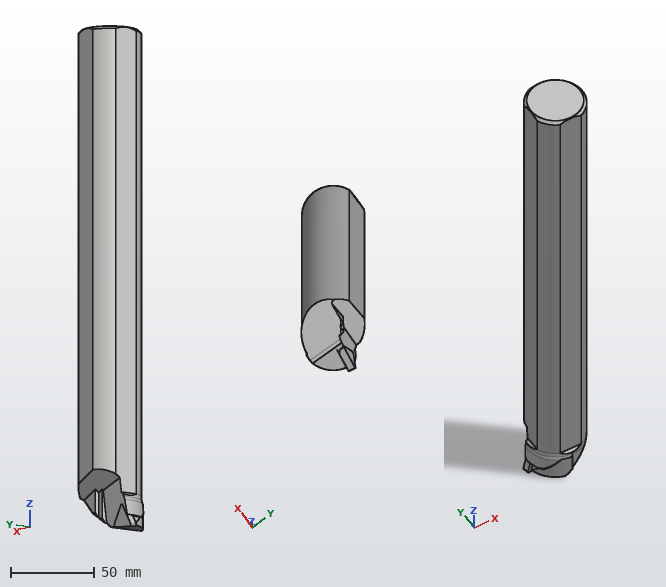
import cadquery as cq
import math


TOTAL_LENGTH = 306.0
SHANK_RADIUS = 19.0
FLAT_DISTANCE = 17.5
FLAT_ANGLES = (90, 180, 270)
NECK_Z = 21.0
TOP_CHAMFER = 1.8

HEAD_BOTTOM_Z = 1.5
COLLAR_Z = 18.5
COLLAR_RADIUS = 19.3
HEAD_TOP_Z = 16.5
HEAD_RADIUS = 20.0
FLARE_RADIUS = 20.5
FLARE_Z = 7.3
FLARE_LIMIT = 23.5

RELIEF_CORNER_Z = 6.0
LOWER_RELIEF_ANGLE = 36.0
LOWER_RELIEF_X = -5.2

NOSE_X = -22.5
NOSE_RADIUS = 1.0
INSERT_EDGE = 16.5
INSERT_THICKNESS = 4.5
CORNER_ANGLE = 60.0
FRONT_EDGE_ANGLE = 5.0
FACE_SLOPE = 0.13

CHIP_WALL_X = -1.5
CHIP_STEP_Y = 6.7
BACK_WALL_X = 2.0
CHIP_LEDGE_Y = 9.2
LEDGE_BEVEL_Z = 11.0
LEDGE_BEVEL_ANGLE = 55.0
RUNOUT_POINT = (0.0, FLAT_DISTANCE, 31.8)
RUNOUT_NORMAL = (-0.4, 0.7, -1.0)

NOTCH_GAP = 2.0
NOTCH_BACK_Y = -11.0

BIG = 122.5

RAKE_PLANE = cq.Plane(
    origin=(NOSE_X, 0, 0),
    xDir=(1, FACE_SLOPE, 0),
    normal=(-FACE_SLOPE, 1, -FACE_SLOPE),
)


def half_space(origin, normal):
    """A large block on the side of a plane that the normal points to."""
    plane = cq.Plane(origin=origin, normal=normal)
    return cq.Workplane(plane).rect(2 * BIG, 2 * BIG).extrude(BIG)


def make_shank():
    shank = (
        cq.Workplane("XY", origin=(0, 0, COLLAR_Z))
        .circle(SHANK_RADIUS)
        .extrude(TOTAL_LENGTH - COLLAR_Z)
        .faces(">Z")
        .chamfer(TOP_CHAMFER)
    )
    run_out = SHANK_RADIUS - FLAT_DISTANCE
    flat_profile = [
        (FLAT_DISTANCE, TOTAL_LENGTH),
        (FLAT_DISTANCE, NECK_Z),
        (FLAT_DISTANCE + 2 * run_out, NECK_Z - 2 * run_out),
        (FLAT_DISTANCE + 2 * run_out, TOTAL_LENGTH),
    ]
    flat = cq.Workplane("XZ").polyline(flat_profile).close().extrude(SHANK_RADIUS, both=True)
    collar = (
        cq.Workplane("XZ")
        .polyline([(0, NECK_Z), (SHANK_RADIUS, NECK_Z), (COLLAR_RADIUS, COLLAR_Z), (0, COLLAR_Z)])
        .close()
        .revolve(360, (0, 0), (0, 1))
    )
    shank = shank.union(collar)
    for angle in FLAT_ANGLES:
        shank = shank.cut(flat.rotate((0, 0, 0), (0, 0, 1), angle))
    return shank


def make_head():
    core = cq.Workplane("XY", origin=(0, 0, HEAD_BOTTOM_Z)).circle(COLLAR_RADIUS)
    core = core.extrude(COLLAR_Z - HEAD_BOTTOM_Z)
    left_half = half_space((0, 0, 0), (-1, 0, 0))
    jacket = (
        cq.Workplane("XZ")
        .polyline(
            [
                (0, COLLAR_Z),
                (COLLAR_RADIUS, COLLAR_Z),
                (HEAD_RADIUS, HEAD_TOP_Z),
                (HEAD_RADIUS, HEAD_BOTTOM_Z),
                (0, HEAD_BOTTOM_Z),
            ]
        )
        .close()
        .revolve(360, (0, 0), (0, 1))
    )
    flare = (
        cq.Workplane("XZ")
        .polyline([(0, HEAD_TOP_Z), (HEAD_RADIUS, HEAD_TOP_Z), (FLARE_RADIUS, FLARE_Z), (0, FLARE_Z)])
        .close()
        .revolve(360, (0, 0), (0, 1))
        .intersect(half_space((0, 0, FLARE_LIMIT), (-1, 0, 1)))
    )
    return core.union(jacket.union(flare).intersect(left_half))


def lower_relief():
    """Cuts that slope the +X side and the lower edge of the head."""
    angle = math.radians(LOWER_RELIEF_ANGLE)
    side = half_space((0, 0, RELIEF_CORNER_Z), (1, 0, -1))
    lower = half_space((LOWER_RELIEF_X, 0, HEAD_BOTTOM_Z), (math.sin(angle), 0, -math.cos(angle)))
    return side.union(lower)


def chip_space():
    """Space over the rake face, closed by two stepped walls and a ledge with a bevel under it."""
    over_insert = half_space(RAKE_PLANE.origin.toTuple(), RAKE_PLANE.zDir.toTuple())
    over_insert = over_insert.intersect(half_space((CHIP_WALL_X, 0, 0), (-1, 0, 0)))
    over_step = half_space((0, CHIP_STEP_Y, 0), (0, 1, 0))
    over_step = over_step.intersect(half_space((BACK_WALL_X, 0, 0), (-1, 0, 0)))
    over_ledge = half_space((0, CHIP_LEDGE_Y, 0), (0, 1, 0))
    angle = math.radians(LEDGE_BEVEL_ANGLE)
    bevel = half_space((0, CHIP_LEDGE_Y, LEDGE_BEVEL_Z), (0, math.sin(angle), -math.cos(angle)))
    below_run_out = half_space(RUNOUT_POINT, RUNOUT_NORMAL)
    return over_insert.union(over_step).union(over_ledge).union(bevel).intersect(below_run_out)


def clearance_notch():
    side_angle = math.radians(FRONT_EDGE_ANGLE + CORNER_ANGLE)
    outside = half_space((NOSE_X + NOTCH_GAP, 0, 0), (-math.sin(side_angle), 0, math.cos(side_angle)))
    reach = cq.Workplane("XY").box(BIG, BIG, FLARE_Z, centered=(True, False, False))
    return outside.intersect(reach.translate((0, NOTCH_BACK_Y, 0)))


def make_insert():
    """Triangular plate with rounded corners, hung below the rake plane."""
    centre_side = INSERT_EDGE - 2 * NOSE_RADIUS / math.tan(math.radians(CORNER_ANGLE / 2))
    centres = [(NOSE_RADIUS, -NOSE_RADIUS)]
    for angle in (FRONT_EDGE_ANGLE, FRONT_EDGE_ANGLE + CORNER_ANGLE):
        turn = math.radians(angle)
        step_x = centre_side * math.cos(turn)
        step_z = centre_side * math.sin(turn)
        centres.append((NOSE_RADIUS + step_x, -NOSE_RADIUS - step_z))
    return (
        cq.Workplane(RAKE_PLANE)
        .polyline(centres)
        .close()
        .offset2D(NOSE_RADIUS)
        .extrude(-INSERT_THICKNESS)
    )


insert = make_insert()
bar = make_shank().union(make_head())
bar = bar.cut(lower_relief()).cut(chip_space()).cut(clearance_notch()).cut(insert)

result = cq.Compound.makeCompound([bar.val(), insert.val()])